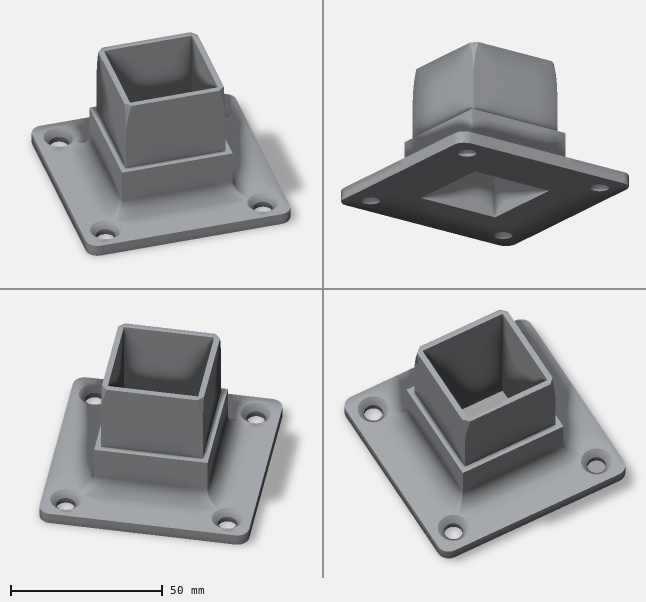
import cadquery as cq
import math

plate_side = 70.0
plate_thickness = 4.0
plate_corner_radius = 4.0

collar_side = 37.95
collar_top = 20.0
flare_radius = 4.5

total_height = 45.0
tube_side = 34.1
tube_wall = 1.95
bore_side = tube_side - 2 * tube_wall

relief_leg = 1.95
relief_height = 11.55
relief_depth = relief_leg / math.sqrt(2)
relief_radius = (relief_height**2 + relief_depth**2) / (2 * relief_depth)

hole_spacing = 54.0
hole_diameter = 6.2
countersink_diameter = 10.3
countersink_angle = 90.0


def make_plate():
    plate = cq.Workplane("XY").rect(plate_side, plate_side).extrude(plate_thickness)
    return plate.edges("|Z").fillet(plate_corner_radius)


def make_flare_ridge(plane):
    """Flare profile on both sides of the collar, extruded between its outer edges."""
    inner = collar_side / 2
    outer = inner + flare_radius
    flare_top = plate_thickness + flare_radius
    bulge = flare_radius * (1 - math.sqrt(0.5))
    return (
        cq.Workplane(plane)
        .moveTo(-outer, plate_thickness)
        .lineTo(outer, plate_thickness)
        .threePointArc((inner + bulge, plate_thickness + bulge), (inner, flare_top))
        .lineTo(-inner, flare_top)
        .threePointArc((-inner - bulge, plate_thickness + bulge), (-outer, plate_thickness))
        .close()
        .extrude(outer, both=True)
    )


def make_flare():
    return make_flare_ridge("XZ").intersect(make_flare_ridge("YZ"))


def make_tube():
    tube = cq.Workplane("XY").rect(tube_side, tube_side).extrude(total_height)
    half_diagonal = tube_side / math.sqrt(2)
    relief_start = total_height - relief_height
    mid_angle = math.asin(relief_height / relief_radius) / 2
    mid_inset = relief_radius * (1 - math.cos(mid_angle))
    mid_height = relief_start + relief_radius * math.sin(mid_angle)
    top_half_width = half_diagonal - relief_depth
    barrel = (
        cq.Workplane("XZ")
        .moveTo(-half_diagonal, 0)
        .lineTo(half_diagonal, 0)
        .lineTo(half_diagonal, relief_start)
        .threePointArc((half_diagonal - mid_inset, mid_height), (top_half_width, total_height))
        .lineTo(-top_half_width, total_height)
        .threePointArc((mid_inset - half_diagonal, mid_height), (-half_diagonal, relief_start))
        .close()
        .extrude(tube_side, both=True)
    )
    for angle in (45, 135):
        tube = tube.intersect(barrel.rotate((0, 0, 0), (0, 0, 1), angle))
    return tube


def cut_screw_holes(body):
    return (
        body.copyWorkplane(cq.Workplane("XY", origin=(0, 0, plate_thickness)))
        .rect(hole_spacing, hole_spacing, forConstruction=True)
        .vertices()
        .cskHole(hole_diameter, countersink_diameter, countersink_angle)
    )


collar = cq.Workplane("XY").rect(collar_side, collar_side).extrude(collar_top)
bore = cq.Workplane("XY").rect(bore_side, bore_side).extrude(total_height)

body = make_plate().union(make_flare()).union(collar).union(make_tube()).cut(bore)
result = cut_screw_holes(body)